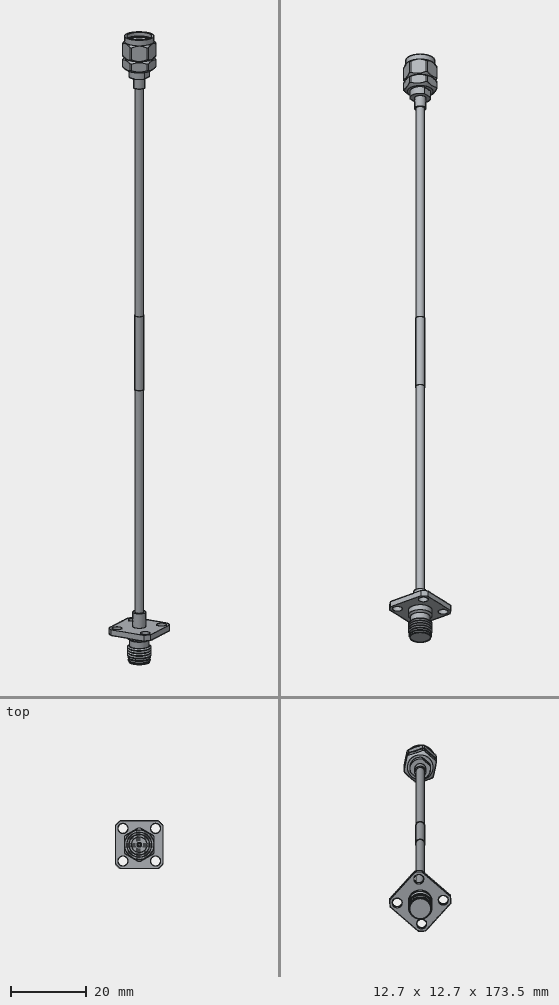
import cadquery as cq
import math

total_length = 173.48
flange_thickness = 1.6
flange_bottom_z = 8.2
flange_top_z = flange_bottom_z + flange_thickness
jack_sleeve_length = 4.0
jack_sleeve_top_z = flange_top_z + jack_sleeve_length

nut_length = 9.2
nut_bottom_z = total_length - nut_length
collar_length = 2.0
collar_bottom_z = nut_bottom_z - collar_length
neck_length = 3.1
neck_bottom_z = collar_bottom_z - neck_length

cable_diameter = 2.3
label_diameter = 2.5
label_length = 20.5
label_bottom_z = 75.5

thread_major_diameter = 6.35
thread_minor_diameter = 5.5
thread_pitch = 0.705

flange_side = 12.7
flange_corner_circle = 16.2
flange_hole_spacing = 8.64
flange_hole_diameter = 2.6
jack_sleeve_diameter = 3.5
jack_cable_depth = 1.0
shoulder_diameter = 6.35
shoulder_length = 1.5
shoulder_taper_length = 0.5
relief_diameter = 5.2
jack_thread_ridges = 6
jack_thread_top_z = 4.45
lead_in_diameter = 5.9
lead_in_ridges = 2

collar_diameter = 5.5
collar_flats_width = 4.8
neck_diameter = 3.0
stem_diameter = 4.8
plug_shell_diameter = 5.4
plug_shell_bore = 4.1
plug_shell_top_depth = 2.5
plug_shell_bore_depth = 4.5
plug_seat_height = 2.5
pin_diameter = 1.27
pin_tip_diameter = 0.6
pin_tip_length = 0.6
pin_top_depth = 1.5

nut_across_flats = 7.94
nut_across_corners = nut_across_flats / math.cos(math.radians(30))
nut_corner_diameter = 8.9
nut_rim_diameter = 7.8
nut_rim_length = 1.5
nut_top_cone_length = 0.6
nut_groove_depth_from_top = 6.0
nut_groove_diameter = 7.5
nut_groove_half_width = 0.6
nut_bottom_diameter = 6.8
nut_bottom_cone_length = 0.8
nut_bore = thread_minor_diameter
nut_mouth_bore = 6.6
nut_mouth_length = 1.0
nut_thread_grooves = 4


def turned(profile):
    """Revolve a closed (radius, z) outline about Z."""
    return cq.Workplane("XZ").polyline(profile).close().revolve(360, (0, 0, 0), (0, 1, 0))


def rod(diameter, bottom_z, top_z):
    """Plain round rod on the Z axis."""
    radius = diameter / 2
    return turned([(0, bottom_z), (radius, bottom_z), (radius, top_z), (0, top_z)])


def make_cable():
    bottom_z = jack_sleeve_top_z - jack_cable_depth
    return rod(cable_diameter, bottom_z, neck_bottom_z)


def make_label():
    top_z = label_bottom_z + label_length
    return rod(label_diameter, label_bottom_z, top_z).cut(rod(cable_diameter, label_bottom_z, top_z))


def jack_thread_outline():
    """Points of the ring-shaped thread ridges from the lowest root upwards, the first ones turned down."""
    lowest_z = jack_thread_top_z - jack_thread_ridges * thread_pitch
    points = [(thread_minor_diameter / 2, lowest_z)]
    for ridge in range(jack_thread_ridges):
        root_z = lowest_z + ridge * thread_pitch
        crest_diameter = lead_in_diameter if ridge < lead_in_ridges else thread_major_diameter
        points.append((crest_diameter / 2, root_z + thread_pitch / 2))
        points.append((thread_minor_diameter / 2, root_z + thread_pitch))
    return points


def make_jack_barrel():
    """Threaded nose, relief groove and shoulder below the flange."""
    shoulder_bottom_z = flange_bottom_z - shoulder_length
    taper_bottom_z = shoulder_bottom_z - shoulder_taper_length
    profile = [
        (0, 0),
        (thread_minor_diameter / 2, 0),
        *jack_thread_outline(),
        (relief_diameter / 2, jack_thread_top_z),
        (relief_diameter / 2, taper_bottom_z),
        (shoulder_diameter / 2, shoulder_bottom_z),
        (shoulder_diameter / 2, flange_bottom_z),
        (0, flange_bottom_z),
    ]
    return turned(profile)


def make_flange():
    return (
        cq.Workplane("XY", origin=(0, 0, flange_bottom_z))
        .rect(flange_side, flange_side)
        .extrude(flange_thickness)
        .intersect(rod(flange_corner_circle, flange_bottom_z, flange_top_z))
        .faces(">Z")
        .workplane()
        .rect(flange_hole_spacing, flange_hole_spacing, forConstruction=True)
        .vertices()
        .hole(flange_hole_diameter)
    )


def make_jack():
    sleeve = rod(jack_sleeve_diameter, flange_top_z, jack_sleeve_top_z)
    return make_jack_barrel().union(make_flange()).union(sleeve).cut(make_cable())


def make_plug_body():
    shell_bottom_z = nut_bottom_z + plug_seat_height
    shell_top_z = total_length - plug_shell_top_depth
    bore_floor_z = total_length - plug_shell_bore_depth
    pin_top_z = total_length - pin_top_depth
    neck = rod(neck_diameter, neck_bottom_z, collar_bottom_z)
    flats = cq.Workplane("XY", origin=(0, 0, collar_bottom_z)).rect(collar_flats_width, collar_diameter)
    collar = rod(collar_diameter, collar_bottom_z, nut_bottom_z).intersect(flats.extrude(collar_length))
    profile = [
        (0, nut_bottom_z),
        (stem_diameter / 2, nut_bottom_z),
        (stem_diameter / 2, shell_bottom_z),
        (plug_shell_diameter / 2, shell_bottom_z),
        (plug_shell_diameter / 2, shell_top_z),
        (plug_shell_bore / 2, shell_top_z),
        (plug_shell_bore / 2, bore_floor_z),
        (pin_diameter / 2, bore_floor_z),
        (pin_diameter / 2, pin_top_z - pin_tip_length),
        (pin_tip_diameter / 2, pin_top_z),
        (0, pin_top_z),
    ]
    return neck.union(collar).union(turned(profile))


def nut_thread_outline(top_z):
    """Points of the ring-shaped thread grooves in the nut bore, from the mouth downwards."""
    points = [(nut_bore / 2, top_z)]
    for groove in range(nut_thread_grooves):
        crest_z = top_z - groove * thread_pitch
        points.append((thread_major_diameter / 2, crest_z - thread_pitch / 2))
        points.append((nut_bore / 2, crest_z - thread_pitch))
    return points


def make_nut():
    """Coupling nut: hexagon with corners on +Y and -Y, blunted and grooved by a turned outline."""
    corner_radius = nut_corner_diameter / 2
    groove_z = total_length - nut_groove_depth_from_top
    rim_z = total_length - nut_rim_length
    seat_z = nut_bottom_z + plug_seat_height
    mouth_z = total_length - nut_mouth_length
    envelope = [
        (stem_diameter / 2, nut_bottom_z),
        (nut_bottom_diameter / 2, nut_bottom_z),
        (corner_radius, nut_bottom_z + nut_bottom_cone_length),
        (corner_radius, groove_z - nut_groove_half_width),
        (nut_groove_diameter / 2, groove_z),
        (corner_radius, groove_z + nut_groove_half_width),
        (corner_radius, rim_z - nut_top_cone_length),
        (nut_rim_diameter / 2, rim_z),
        (nut_rim_diameter / 2, total_length),
        (nut_mouth_bore / 2, total_length),
        (nut_mouth_bore / 2, mouth_z),
        *nut_thread_outline(mouth_z),
        (nut_bore / 2, seat_z),
        (stem_diameter / 2, seat_z),
    ]
    hexagon = (
        cq.Workplane("XY", origin=(0, 0, nut_bottom_z))
        .polygon(6, nut_across_corners)
        .extrude(nut_length)
        .rotate((0, 0, 0), (0, 0, 1), 90)
    )
    return hexagon.intersect(turned(envelope))


cable = make_cable()
label = make_label()
jack = make_jack()
plug_body = make_plug_body()
nut = make_nut()

result = cq.Compound.makeCompound([cable.val(), label.val(), jack.val(), plug_body.val(), nut.val()])